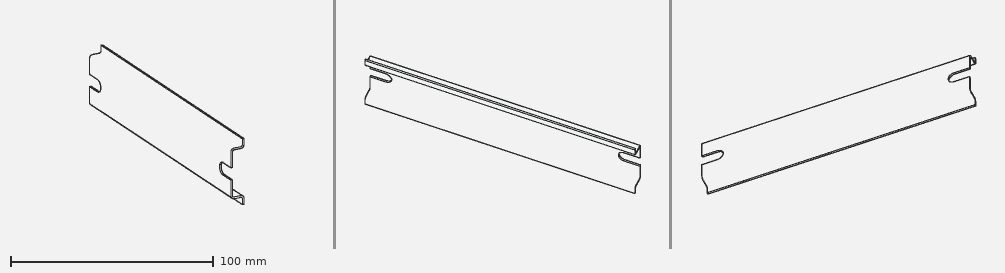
import cadquery as cq

length = 145.0
depth = 7.5
height = 35.0

thickness = 1.0
inner_radius = 0.9
outer_radius = inner_radius + thickness
web_height = 27.0

slot_width = 6.5
slot_length = 11.6

web_y = -depth / 2
lip_y = depth / 2


def slab(y_min, y_max, z_min, z_max):
    """Full-length plate spanning the given Y and Z ranges."""
    return (
        cq.Workplane("XY")
        .box(length, y_max - y_min, z_max - z_min)
        .translate((0, (y_min + y_max) / 2, (z_min + z_max) / 2))
    )


def bend(part, y, z, radius):
    """Round the lengthwise edge at the given Y and Z."""
    edge = cq.selectors.NearestToPointSelector((0, y, z))
    return part.edges(edge).fillet(radius)


def make_rail():
    """Bent sheet: web at -Y, two side walls, and lips turned outward at +Y."""
    half_web = web_height / 2
    rail = slab(web_y, web_y + thickness, -half_web, half_web)
    for side in (1, -1):
        wall = sorted((side * half_web, side * (half_web - thickness)))
        lip = sorted((side * (half_web - thickness), side * height / 2))
        rail = rail.union(slab(web_y, lip_y, *wall))
        rail = rail.union(slab(lip_y - thickness, lip_y, *lip))
    for side in (1, -1):
        wall_outside = side * half_web
        wall_inside = side * (half_web - thickness)
        rail = bend(rail, web_y, wall_outside, outer_radius)
        rail = bend(rail, web_y + thickness, wall_inside, inner_radius)
        rail = bend(rail, lip_y, wall_inside, outer_radius)
        rail = bend(rail, lip_y - thickness, wall_outside, inner_radius)
    return rail


def make_end_slots():
    """Cutters through the web, open at each end and round at the inner end."""
    return (
        cq.Workplane("XZ")
        .pushPoints([(-length / 2, 0), (length / 2, 0)])
        .slot2D(2 * slot_length, slot_width)
        .extrude(depth, both=True)
    )


result = make_rail().cut(make_end_slots())